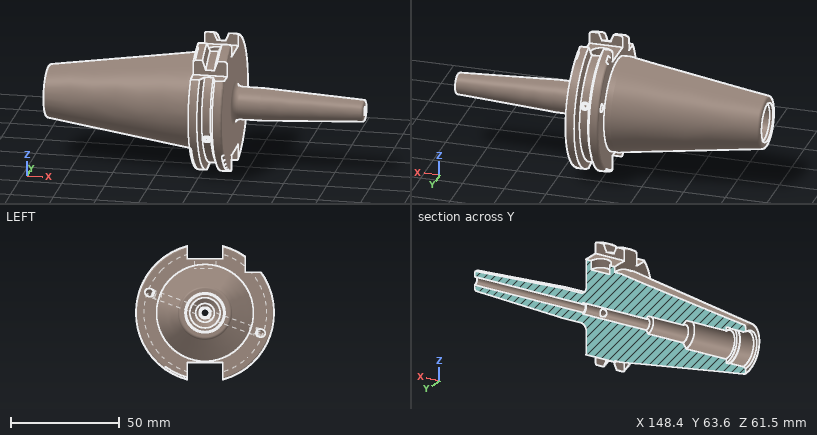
import cadquery as cq
import math

TOTAL_LENGTH = 148.4

GAUGE_X = 68.4
GAUGE_RADIUS = 22.3
TAPER_RATIO = 7 / 24
TAPER_END_FILLET = 1.3

FLANGE_START_X = 71.7
FLANGE_END_X = 87.5
FLANGE_RADIUS = 31.8
FLANGE_FILLET = 1.0
GROOVE_X = 79.5
GROOVE_FLOOR_RADIUS = 28.2
GROOVE_FLOOR_WIDTH = 4.0
GROOVE_MOUTH_WIDTH = 7.1

SLOT_WIDTH = 16.2
UPPER_SLOT_FLOOR = 25.0
LOWER_SLOT_FLOOR = 22.9
NOTCH_Y = 18.5
NOTCH_Z = 18.7
POCKET_DIAMETER = 10.0
POCKET_DEPTH = 4.5

NOSE_RADIUS = 7.5
NOSE_CYLINDER_END_X = 100.6
NOSE_ROOT_FILLET = 3.0
TIP_RADIUS = 5.0
TIP_FILLET = 1.0

BORE_MOUTH_RADIUS = 9.2
MOUTH_CONE_LENGTH = 1.3
PILOT_RADIUS = 8.6
PILOT_END_X = 8.9
UNDERCUT_RADIUS = 8.9
UNDERCUT_END_X = 10.7
THREAD_RADIUS = 7.0
THREAD_END_X = 32.6
RELIEF_RADIUS = 4.3
RELIEF_END_X = 53.4
COOLANT_RADIUS = 2.7
COOLANT_END_X = 89.0
TOOL_RADIUS = 2.0
DRILL_TIP_ANGLE = 118.0

PASSAGE_ANGLE = 20.0
INLET_CIRCLE_RADIUS = 27.2
INLET_DIAMETER = 3.7
INLET_TILT = 30.0
SCREW_DIAMETER = 3.5
SCREW_LENGTH = 3.5
SCREW_TOP_RADIUS = 27.9
SOCKET_FLATS = 2.1
SOCKET_DEPTH = 1.8

SMALL_END_RADIUS = GAUGE_RADIUS - GAUGE_X * TAPER_RATIO / 2
FLANGE_WIDTH = FLANGE_END_X - FLANGE_START_X
FLANGE_MIDDLE_X = (FLANGE_START_X + FLANGE_END_X) / 2
TIP_SLOPE = math.tan(math.radians(DRILL_TIP_ANGLE / 2))
INLET_LENGTH = (GROOVE_X - FLANGE_START_X) / math.cos(math.radians(INLET_TILT))
PASSAGE_TURNS = (PASSAGE_ANGLE, PASSAGE_ANGLE + 180.0)


def revolve_about_axis(points):
    """Revolve a closed (x, radius) outline about the X axis."""
    return cq.Workplane("XY").polyline(points).close().revolve(360, (0, 0), (1, 0))


def turned_blank():
    """Taper, flange and nose before the fillets."""
    return revolve_about_axis([
        (0, 0),
        (0, SMALL_END_RADIUS),
        (GAUGE_X, GAUGE_RADIUS),
        (FLANGE_START_X, GAUGE_RADIUS),
        (FLANGE_START_X, FLANGE_RADIUS),
        (FLANGE_END_X, FLANGE_RADIUS),
        (FLANGE_END_X, NOSE_RADIUS),
        (NOSE_CYLINDER_END_X, NOSE_RADIUS),
        (TOTAL_LENGTH, TIP_RADIUS),
        (TOTAL_LENGTH, 0),
    ])


def edges_within(x, radius):
    """Selector for edges in the plane at x that lie inside a square of half-width radius."""
    margin = 0.1
    low_corner = (x - margin, -radius, -radius)
    high_corner = (x + margin, radius, radius)
    return cq.selectors.BoxSelector(low_corner, high_corner, boundingbox=True)


def edge_circle(x, radius):
    """Selector for the circular edge of a given radius at a given x."""
    margin = 0.1
    return edges_within(x, radius + margin) - edges_within(x, radius - margin)


def round_turned_edges(body):
    fillets = [
        (0, SMALL_END_RADIUS, TAPER_END_FILLET),
        (FLANGE_START_X, FLANGE_RADIUS, FLANGE_FILLET),
        (FLANGE_END_X, FLANGE_RADIUS, FLANGE_FILLET),
        (FLANGE_END_X, NOSE_RADIUS, NOSE_ROOT_FILLET),
        (TOTAL_LENGTH, TIP_RADIUS, TIP_FILLET),
    ]
    for x, radius, size in fillets:
        body = body.edges(edge_circle(x, radius)).fillet(size)
    return body


def gripper_groove():
    """Ring with sloped sides, removed from the flange rim."""
    return revolve_about_axis([
        (GROOVE_X - GROOVE_MOUTH_WIDTH / 2, FLANGE_RADIUS),
        (GROOVE_X - GROOVE_FLOOR_WIDTH / 2, GROOVE_FLOOR_RADIUS),
        (GROOVE_X + GROOVE_FLOOR_WIDTH / 2, GROOVE_FLOOR_RADIUS),
        (GROOVE_X + GROOVE_MOUTH_WIDTH / 2, FLANGE_RADIUS),
    ])


def centre_bore():
    """Stepped bore through the whole holder."""
    thread_tip = (THREAD_RADIUS - RELIEF_RADIUS) / TIP_SLOPE
    relief_tip = (RELIEF_RADIUS - COOLANT_RADIUS) / TIP_SLOPE
    return revolve_about_axis([
        (0, 0),
        (0, BORE_MOUTH_RADIUS),
        (MOUTH_CONE_LENGTH, PILOT_RADIUS),
        (PILOT_END_X, PILOT_RADIUS),
        (PILOT_END_X, UNDERCUT_RADIUS),
        (UNDERCUT_END_X, UNDERCUT_RADIUS),
        (UNDERCUT_END_X, THREAD_RADIUS),
        (THREAD_END_X, THREAD_RADIUS),
        (THREAD_END_X + thread_tip, RELIEF_RADIUS),
        (RELIEF_END_X, RELIEF_RADIUS),
        (RELIEF_END_X + relief_tip, COOLANT_RADIUS),
        (COOLANT_END_X, COOLANT_RADIUS),
        (COOLANT_END_X, TOOL_RADIUS),
        (TOTAL_LENGTH, TOOL_RADIUS),
        (TOTAL_LENGTH, 0),
    ])


def flange_cutouts():
    """Two drive slots, the index notch and the round chip pocket."""
    slot = cq.Workplane("XY").box(FLANGE_WIDTH, SLOT_WIDTH, FLANGE_RADIUS, centered=(True, True, False))
    upper_slot = slot.translate((FLANGE_MIDDLE_X, 0, UPPER_SLOT_FLOOR))
    lower_slot = slot.translate((FLANGE_MIDDLE_X, 0, -LOWER_SLOT_FLOOR - FLANGE_RADIUS))
    notch = (
        cq.Workplane("XY")
        .box(FLANGE_WIDTH, FLANGE_RADIUS, FLANGE_RADIUS, centered=(True, True, False))
        .translate((FLANGE_MIDDLE_X, -NOTCH_Y - FLANGE_RADIUS / 2, NOTCH_Z))
    )
    pocket = (
        cq.Workplane("XY", origin=(GROOVE_X, 0, UPPER_SLOT_FLOOR))
        .circle(POCKET_DIAMETER / 2)
        .extrude(-POCKET_DEPTH)
    )
    return upper_slot.union(lower_slot).union(notch).union(pocket)


def turn_about_axis(shape, angle):
    return shape.rotate((0, 0, 0), (1, 0, 0), angle)


def coolant_inlet():
    """Hole from the flange face, sloping inward to the middle of the cross hole."""
    overrun = INLET_DIAMETER
    return (
        cq.Workplane("YZ", origin=(-overrun, 0, 0))
        .circle(INLET_DIAMETER / 2)
        .extrude(overrun + INLET_LENGTH)
        .rotate((0, 0, 0), (0, 0, 1), -INLET_TILT)
        .translate((FLANGE_START_X, INLET_CIRCLE_RADIUS, 0))
    )


def radial_cylinder(outer_radius, length):
    """Cylinder of the screw diameter along +Y, running inward from outer_radius."""
    return (
        cq.Workplane("XZ", origin=(GROOVE_X, outer_radius, 0))
        .circle(SCREW_DIAMETER / 2)
        .extrude(length)
    )


def cross_hole():
    """Radial hole from the groove to the centre bore."""
    return radial_cylinder(FLANGE_RADIUS, FLANGE_RADIUS)


def make_set_screw():
    """Headless screw with a hexagon socket, pointing along +Y."""
    socket = (
        cq.Workplane("XZ", origin=(GROOVE_X, SCREW_TOP_RADIUS, 0))
        .polygon(6, SOCKET_FLATS, circumscribed=True)
        .extrude(SOCKET_DEPTH)
    )
    return radial_cylinder(SCREW_TOP_RADIUS, SCREW_LENGTH).cut(socket)


def make_holder():
    body = round_turned_edges(turned_blank())
    body = body.cut(gripper_groove()).cut(centre_bore()).cut(flange_cutouts())
    for turn in PASSAGE_TURNS:
        body = body.cut(turn_about_axis(coolant_inlet(), turn))
        body = body.cut(turn_about_axis(cross_hole(), turn))
    return body


holder = make_holder()
set_screws = [turn_about_axis(make_set_screw(), turn) for turn in PASSAGE_TURNS]

result = cq.Compound.makeCompound([holder.val(), *[screw.val() for screw in set_screws]])